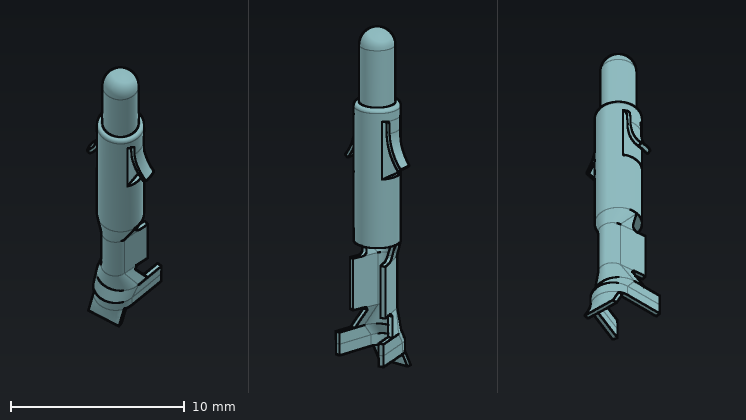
import cadquery as cq
import math

total_height = 21.07
insulation_bottom = 1.03
insulation_shoulder = 1.73
insulation_top = 2.45
wire_bottom = 3.7
wire_top = 6.9
sleeve_bottom = 7.99
sleeve_top = 16.52

pin_radius = 1.05
sleeve_radius = 1.37
sleeve_rounding = 0.25
wall = sleeve_radius - pin_radius

window_bottom = 12.2
window_top = 15.74
tongue_bend_start = 14.95
tongue_bend_radius = 3.2
tongue_tip_x = 2.09
tongue_root_width = 1.0
tongue_tip_width = 0.8
tongue_flare = 0.2

wire_radius = 0.82
wire_tilt = 17.0
wire_end = 1.0
insulation_radius = 1.3
shoulder_radius = 1.41
insulation_tilt = 11.0
insulation_end = 1.7
insulation_floor = -1.8
barrel_floor = -sleeve_radius

neck_relief_radius = 0.35
funnel_back_top = 0.1
funnel_notch_y = -0.05
funnel_notch_drop = 0.21
funnel_back_bottom = 0.53

tail_width = 2 * pin_radius


def channel_wire(z, radius, tilt, floor, end):
    """Closed U section: round floor with two straight wings tangent to it."""
    angle = math.radians(tilt)
    center_y = floor + radius
    inner = radius - wall
    outer_end = end - wall * math.sin(angle)

    def tangent(r):
        return r * math.cos(angle), center_y - r * math.sin(angle)

    def wing_end(r, y):
        x, start_y = tangent(r)
        return x + (y - start_y) * math.tan(angle), y

    def mirrored(point):
        return -point[0], point[1]

    outer_tip = wing_end(radius, outer_end)
    inner_tip = wing_end(inner, end)
    section = (
        cq.Workplane("XY", origin=(0, 0, z))
        .moveTo(*mirrored(outer_tip))
        .lineTo(*mirrored(tangent(radius)))
        .threePointArc((0, floor), tangent(radius))
        .lineTo(*outer_tip)
        .lineTo(*inner_tip)
        .lineTo(*tangent(inner))
        .threePointArc((0, floor + wall), mirrored(tangent(inner)))
        .lineTo(*mirrored(inner_tip))
        .close()
    )
    return section.val()


def loft(*wires):
    return cq.Workplane(cq.Solid.makeLoft(list(wires), True))


def pin_and_sleeve():
    pin = cq.Workplane("XY", origin=(0, 0, sleeve_top)).circle(pin_radius)
    pin = pin.extrude(total_height - pin_radius - sleeve_top)
    dome = cq.Workplane("XY", origin=(0, 0, total_height - pin_radius)).sphere(pin_radius)
    sleeve = cq.Workplane("XY", origin=(0, 0, sleeve_bottom)).circle(sleeve_radius)
    sleeve = sleeve.extrude(sleeve_top - sleeve_bottom).faces(">Z").edges().fillet(sleeve_rounding)
    window = cq.Workplane("XY", origin=(0, 0, window_bottom)).rect(4 * sleeve_radius, 4 * sleeve_radius)
    window = window.rect(2 * pin_radius, 4 * sleeve_radius).extrude(window_top - window_bottom)
    contact = sleeve.union(pin).union(dome)
    return contact.rotate((0, 0, 0), (0, 0, 1), -90).cut(window)


def spring_tongue():
    """Strip of sleeve wall, straight at its root and then bent outward along an arc."""
    half_chord = math.sqrt(sleeve_radius**2 - pin_radius**2)
    section = (
        cq.Sketch()
        .segment((pin_radius, half_chord), (pin_radius, -half_chord))
        .arc((pin_radius, -half_chord), (sleeve_radius, 0), (pin_radius, half_chord))
        .assemble()
    )
    bend_plane = cq.Workplane("XY", origin=(0, 0, tongue_bend_start)).placeSketch(section)
    axis_x = sleeve_radius + tongue_bend_radius
    bend = math.acos((axis_x - tongue_tip_x) / tongue_bend_radius)
    root = bend_plane.extrude(window_top - tongue_bend_start)
    curved = bend_plane.revolve(math.degrees(bend), (axis_x, 0), (axis_x, -1))
    half_root = tongue_root_width / 2
    half_tip = tongue_tip_width / 2
    outline = (
        cq.Workplane("YZ")
        .moveTo(-half_tip, window_bottom)
        .lineTo(half_tip, window_bottom)
        .lineTo(half_root, window_top - tongue_flare)
        .radiusArc((half_root + tongue_flare, window_top), tongue_flare)
        .lineTo(-half_root - tongue_flare, window_top)
        .radiusArc((-half_root, window_top - tongue_flare), tongue_flare)
        .close()
        .extrude(2 * tongue_tip_x)
    )
    return root.union(curved).intersect(outline)


def neck():
    body = loft(
        channel_wire(wire_top, wire_radius, wire_tilt, barrel_floor, wire_end),
        channel_wire(sleeve_bottom, sleeve_radius, 0, barrel_floor, wire_end),
    )
    relief = (
        cq.Workplane("YZ")
        .moveTo(neck_relief_radius, wire_top)
        .radiusArc((0, wire_top + neck_relief_radius), neck_relief_radius)
        .lineTo(0, sleeve_bottom)
        .lineTo(2 * wire_end, sleeve_bottom)
        .lineTo(2 * wire_end, wire_top)
        .close()
        .extrude(2 * sleeve_radius, both=True)
    )
    return body.cut(relief)


def wire_barrel():
    return loft(*[channel_wire(z, wire_radius, wire_tilt, barrel_floor, wire_end)
                  for z in (wire_bottom, wire_top)])


def funnel():
    body = loft(
        channel_wire(insulation_top, shoulder_radius, insulation_tilt, barrel_floor, wire_end),
        channel_wire(wire_bottom, wire_radius, wire_tilt, barrel_floor, wire_end),
    )
    relief = (
        cq.Workplane("YZ")
        .moveTo(funnel_back_bottom, insulation_top)
        .lineTo(funnel_notch_y, wire_bottom - funnel_notch_drop)
        .lineTo(funnel_back_top, wire_bottom)
        .lineTo(2 * wire_end, wire_bottom)
        .lineTo(2 * wire_end, insulation_top)
        .close()
        .extrude(2 * sleeve_radius, both=True)
    )
    return body.cut(relief)


def insulation_barrel():
    lower, shoulder = [
        channel_wire(z, insulation_radius, insulation_tilt, insulation_floor, insulation_end)
        for z in (insulation_bottom, insulation_shoulder)
    ]
    top = channel_wire(insulation_top, shoulder_radius, insulation_tilt, barrel_floor, insulation_end)
    return loft(lower, shoulder).union(loft(shoulder, top))


def tail_tab():
    """Tab that flattens from the round floor of the insulation barrel to a straight end."""
    half = tail_width / 2
    center_y = insulation_floor + insulation_radius
    outer_y = center_y - math.sqrt(insulation_radius**2 - half**2)
    curved = (
        cq.Workplane("XY", origin=(0, 0, insulation_bottom))
        .moveTo(-half, outer_y)
        .threePointArc((0, insulation_floor), (half, outer_y))
        .lineTo(half, outer_y + wall)
        .threePointArc((0, insulation_floor + wall), (-half, outer_y + wall))
        .close()
        .val()
    )
    flat = (
        cq.Workplane("XY")
        .moveTo(-half, insulation_floor)
        .lineTo(half, insulation_floor)
        .lineTo(half, insulation_floor + wall)
        .lineTo(-half, insulation_floor + wall)
        .close()
        .val()
    )
    return loft(flat, curved)


tongue = spring_tongue()
result = pin_and_sleeve().union(tongue).union(tongue.mirror("YZ"))
for section in (neck(), wire_barrel(), funnel(), insulation_barrel(), tail_tab()):
    result = result.union(section)